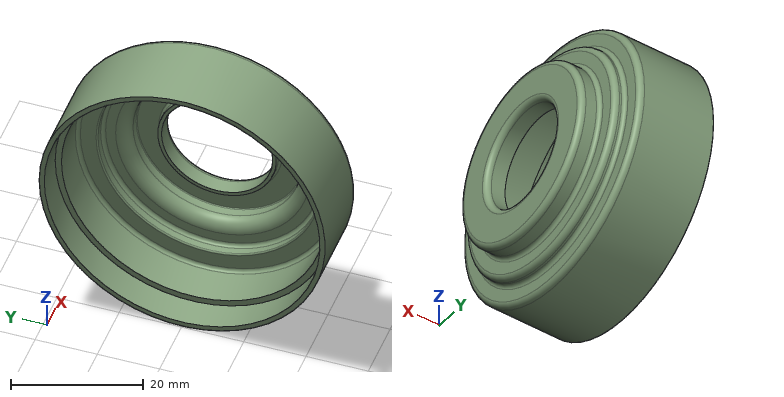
import cadquery as cq

outer_radius = 22.95
total_length = 19.5
web_thickness = 1.95

shoulder_x = 13.85
step_face_x = 15.9
step_radius = 19.3
hub_radius = 15.6
outer_round = 0.95
root_fillet = 0.7

rim_bore_radius = 22.12
rim_bore_depth = 5.0
drum_bore_radius = 21.1
step_bore_radius = 17.75
hub_bore_radius = 13.5
drum_floor_x = shoulder_x - web_thickness
step_floor_x = step_face_x - web_thickness
hub_floor_x = total_length - web_thickness
bore_fillet = 0.6
step_edge_round = 0.25
hub_mouth_round = 2.05
hub_floor_fillet = 0.15

hole_radius = 8.9
lip_radius = 9.5
lip_end_x = 15.97
lip_fillet = 0.4


def sharp(x, radius):
    """Profile corner without rounding."""
    return (x, radius, 0)


def corner_tangents(before, corner, after):
    """Start and end of the rounding at a right-angled profile corner."""
    size = corner[2]
    point = cq.Vector(corner[0], corner[1])
    toward_before = (cq.Vector(before[0], before[1]) - point).normalized()
    toward_after = (cq.Vector(after[0], after[1]) - point).normalized()
    return point + toward_before * size, point + toward_after * size


def rounded_profile(corners):
    """Closed outline with a tangent arc at each corner; starts at a sharp corner."""
    profile = cq.Workplane("XY").moveTo(corners[0][0], corners[0][1])
    for i in range(1, len(corners)):
        corner = corners[i]
        if corner[2] == 0:
            profile = profile.lineTo(corner[0], corner[1])
            continue
        following = corners[(i + 1) % len(corners)]
        start, end = corner_tangents(corners[i - 1], corner, following)
        profile = profile.lineTo(start.x, start.y)
        profile = profile.tangentArcPoint((end.x, end.y), relative=False)
    return profile.close()


outside = [
    sharp(0, outer_radius),
    (shoulder_x, outer_radius, outer_round),
    (shoulder_x, step_radius, root_fillet),
    (step_face_x, step_radius, outer_round),
    (step_face_x, hub_radius, root_fillet),
    (total_length, hub_radius, outer_round),
]

central_hole = [
    (total_length, hole_radius, outer_round),
    sharp(lip_end_x, hole_radius),
    sharp(lip_end_x, lip_radius),
    (hub_floor_x, lip_radius, lip_fillet),
]

inside = [
    (hub_floor_x, hub_bore_radius, hub_floor_fillet),
    (step_floor_x, hub_bore_radius, hub_mouth_round),
    (step_floor_x, step_bore_radius, bore_fillet),
    (drum_floor_x, step_bore_radius, step_edge_round),
    (drum_floor_x, drum_bore_radius, bore_fillet),
    sharp(rim_bore_depth, drum_bore_radius),
    sharp(rim_bore_depth, rim_bore_radius),
    sharp(0, rim_bore_radius),
]

profile = rounded_profile(outside + central_hole + inside)
result = profile.revolve(360, (0, 0, 0), (1, 0, 0))